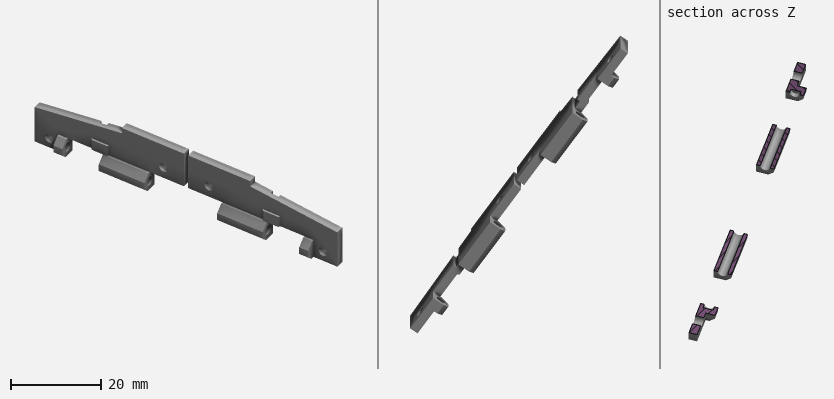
import cadquery as cq

TOTAL_LENGTH = 80.0
LEAF_GAP = 1.1
OUTER_X = -TOTAL_LENGTH / 2
INNER_X = -LEAF_GAP / 2

PLATE_THICKNESS = 2.0
PLATE_HEIGHT = 14.3
OUTER_HEIGHT = 9.9
SHOULDER_HEIGHT = 12.8
RAISED_LENGTH = 16.4
SHOULDER_X = INNER_X - RAISED_LENGTH
LOWER_EDGE_Z = 4.9
FOOT_WIDTH = 6.3
FOOT_INNER_X = OUTER_X + FOOT_WIDTH

SCREW_DIAMETER = 2.2
SCREW_POSITIONS = [(3.8, 2.6), (34.0, 7.8)]

KNUCKLE_DEPTH = 4.2
KNUCKLE_LEDGE = 0.5
KNUCKLE_TOP_CHAMFER = KNUCKLE_DEPTH - PLATE_THICKNESS - KNUCKLE_LEDGE
KNUCKLE_BOTTOM_CHAMFER = 1.3
SHORT_KNUCKLE_LENGTH = 2.4
LONG_KNUCKLE_START = OUTER_X + 18.3
LONG_KNUCKLE_LENGTH = 12.1
BORE_DIAMETER = 2.2
BORE_Y = -KNUCKLE_DEPTH / 2
BORE_Z = LOWER_EDGE_Z / 2
BLIND_BORE_DEPTH = 1.0

PAD_START = OUTER_X + 15.0
PAD_LENGTH = 4.8
PAD_RAMP = KNUCKLE_LEDGE
PAD_TOP_Z = 7.8

GROOVE_WIDTH = 1.9
GROOVE_DEPTH = 0.8


def make_plate():
    """Flat plate with a stepped, sloping top edge and a foot at the outer end."""
    outline = [
        (OUTER_X, 0),
        (FOOT_INNER_X, 0),
        (FOOT_INNER_X, LOWER_EDGE_Z),
        (INNER_X, LOWER_EDGE_Z),
        (INNER_X, PLATE_HEIGHT),
        (SHOULDER_X, PLATE_HEIGHT),
        (SHOULDER_X, SHOULDER_HEIGHT),
        (OUTER_X, OUTER_HEIGHT),
    ]
    return cq.Workplane("XZ").polyline(outline).close().extrude(PLATE_THICKNESS)


def make_knuckle(start_x, length):
    """Solid knuckle with chamfered front edges, running along X."""
    profile = [
        (0, 0),
        (-KNUCKLE_DEPTH + KNUCKLE_BOTTOM_CHAMFER, 0),
        (-KNUCKLE_DEPTH, KNUCKLE_BOTTOM_CHAMFER),
        (-KNUCKLE_DEPTH, LOWER_EDGE_Z - KNUCKLE_TOP_CHAMFER),
        (-KNUCKLE_DEPTH + KNUCKLE_TOP_CHAMFER, LOWER_EDGE_Z),
        (0, LOWER_EDGE_Z),
    ]
    return cq.Workplane("YZ", origin=(start_x, 0, 0)).polyline(profile).close().extrude(length)


def make_bore(start_x, length):
    """Cutter for a pin bore along X."""
    plane = cq.Workplane("YZ", origin=(start_x, BORE_Y, BORE_Z))
    return plane.circle(BORE_DIAMETER / 2).extrude(length)


def make_pad():
    """Thin pad on the front face, ramped at both ends."""
    pad_end = PAD_START + PAD_LENGTH
    front_y = -PLATE_THICKNESS - KNUCKLE_LEDGE
    profile = [
        (PAD_START, -PLATE_THICKNESS),
        (PAD_START + PAD_RAMP, front_y),
        (pad_end - PAD_RAMP, front_y),
        (pad_end, -PLATE_THICKNESS),
    ]
    plane = cq.Workplane("XY", origin=(0, 0, LOWER_EDGE_Z))
    return plane.polyline(profile).close().extrude(PAD_TOP_Z - LOWER_EDGE_Z)


def make_screw_holes():
    """Cutters for the screw holes through the plate."""
    centers = [(OUTER_X + distance, height) for distance, height in SCREW_POSITIONS]
    return cq.Workplane("XZ").pushPoints(centers).circle(SCREW_DIAMETER / 2).extrude(PLATE_THICKNESS)


def make_groove():
    """Cutter for the full-height groove in the back face."""
    groove = cq.Workplane("XY").box(GROOVE_WIDTH, GROOVE_DEPTH, PLATE_HEIGHT, centered=False)
    return groove.translate((LONG_KNUCKLE_START - GROOVE_WIDTH, -GROOVE_DEPTH, 0))


def make_leaf():
    """Complete hinge leaf on the -X side."""
    short_knuckle = make_knuckle(FOOT_INNER_X, SHORT_KNUCKLE_LENGTH)
    long_knuckle = make_knuckle(LONG_KNUCKLE_START, LONG_KNUCKLE_LENGTH)
    leaf = make_plate().union(short_knuckle).union(long_knuckle).union(make_pad())

    short_knuckle_end = FOOT_INNER_X + SHORT_KNUCKLE_LENGTH
    leaf = leaf.cut(make_bore(short_knuckle_end - BLIND_BORE_DEPTH, BLIND_BORE_DEPTH))
    leaf = leaf.cut(make_bore(LONG_KNUCKLE_START, LONG_KNUCKLE_LENGTH))
    return leaf.cut(make_screw_holes()).cut(make_groove())


left_leaf = make_leaf()
right_leaf = left_leaf.mirror("YZ")

result = cq.Compound.makeCompound([left_leaf.val(), right_leaf.val()])